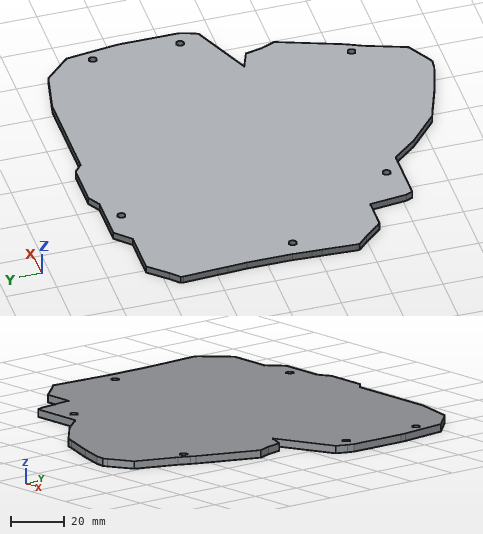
import cadquery as cq

length_x = 142.6
length_y = 148.2
thickness = 3.0
hole_diameter = 3.0

right_x = length_x / 2
left_x = -right_x
top_y = length_y / 2
bottom_y = -top_y

shoulder_y = 71.1
left_block_top_y = 65.2
left_block_bottom_y = -26.7
lower_step_y = -44.0

left_block_middle_y = (left_block_top_y + left_block_bottom_y) / 2
left_block_corner_x = -61.4

left_side_half = [
    (-70.0, 8.9),
    (-70.4, 16.6),
    (-70.5, 20.5),
    (left_x, 34.4),
    (-71.1, 35.3),
    (-67.7, 38.7),
    (left_block_corner_x, left_block_top_y - left_block_middle_y),
]

left_side = [(x, left_block_middle_y - rise) for x, rise in reversed(left_side_half)]
left_side += [(x, left_block_middle_y + rise) for x, rise in left_side_half]

top_edge = [
    (-43.9, left_block_top_y),
    (-38.1, shoulder_y),
    (-20.0, shoulder_y),
    (-15.1, top_y),
    (1.6, top_y),
    (5.0, shoulder_y),
    (42.1, shoulder_y),
    (59.1, 67.6),
]

right_side = [
    (68.6, 57.7),
    (71.1, 38.0),
    (right_x, 35.5),
    (right_x, 12.6),
    (70.5, 10.0),
    (68.9, 5.6),
    (44.9, -5.2),
]

lobe_right = [
    (52.2, -8.0),
    (53.7, -14.7),
    (55.9, -20.3),
    (47.1, -44.9),
    (46.2, -47.0),
    (44.2, -51.5),
    (38.4, -67.9),
    (29.0, -73.4),
    (27.4, bottom_y),
]

lower_edge = [
    (23.4, -73.7),
    (12.9, -70.5),
    (-1.8, -65.2),
    (-4.2, -64.6),
    (-16.7, -53.5),
    (-24.6, lower_step_y),
    (-46.4, lower_step_y),
    (-47.6, -41.4),
    (-49.2, left_block_bottom_y),
]

right_hole_x = 65.2
hole_centres = [
    (-28.9, 65.2),
    (-63.5, 8.2),
    (right_hole_x, 48.3),
    (right_hole_x, 14.0),
    (-32.5, -38.1),
    (42.0, -46.5),
]

outline = left_side + top_edge + right_side + lobe_right + lower_edge
plate = cq.Workplane("XY").polyline(outline).close().extrude(thickness)

hole_plane = plate.faces(">Z").workplane(origin=(0, 0, thickness))
result = hole_plane.pushPoints(hole_centres).hole(hole_diameter)